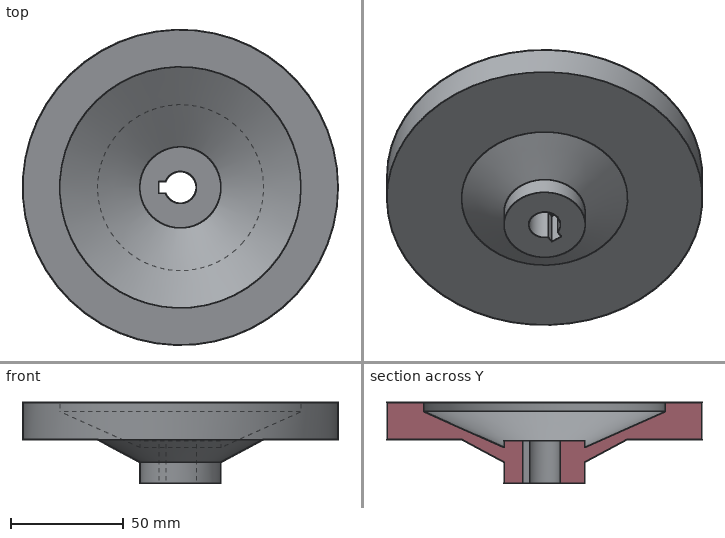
import cadquery as cq

rim_diameter = 140.0
total_height = 36.0

rim_height = 16.5
rim_inner_diameter = 107.0
lip_depth = 4.0

hub_diameter = 36.0
hub_top_depth = 17.0
hub_upper_step = 3.0
hub_lower_length = 9.4

web_underside_diameter = 73.6

bore_diameter = 14.0
keyway_width = 5.0
keyway_reach = 9.5

rim_radius = rim_diameter / 2
rim_inner_radius = rim_inner_diameter / 2
hub_radius = hub_diameter / 2
rim_bottom = total_height - rim_height
hub_top = total_height - hub_top_depth


def make_wheel_body():
    """Revolve the rim, dished web and hub about Z."""
    return (
        cq.Workplane("XZ")
        .moveTo(0, 0)
        .lineTo(hub_radius, 0)
        .lineTo(hub_radius, hub_lower_length)
        .lineTo(web_underside_diameter / 2, rim_bottom)
        .lineTo(rim_radius, rim_bottom)
        .lineTo(rim_radius, total_height)
        .lineTo(rim_inner_radius, total_height)
        .lineTo(rim_inner_radius, total_height - lip_depth)
        .lineTo(hub_radius, hub_top - hub_upper_step)
        .lineTo(hub_radius, hub_top)
        .lineTo(0, hub_top)
        .close()
        .revolve(360, (0, 0, 0), (0, 1, 0))
    )


def make_bore_with_keyway():
    """Through bore with a rectangular keyway on its -X side."""
    bore = cq.Workplane("XY").circle(bore_diameter / 2).extrude(hub_top)
    keyway = (
        cq.Workplane("XY")
        .center(-keyway_reach / 2, 0)
        .rect(keyway_reach, keyway_width)
        .extrude(hub_top)
    )
    return bore.union(keyway)


result = make_wheel_body().cut(make_bore_with_keyway())